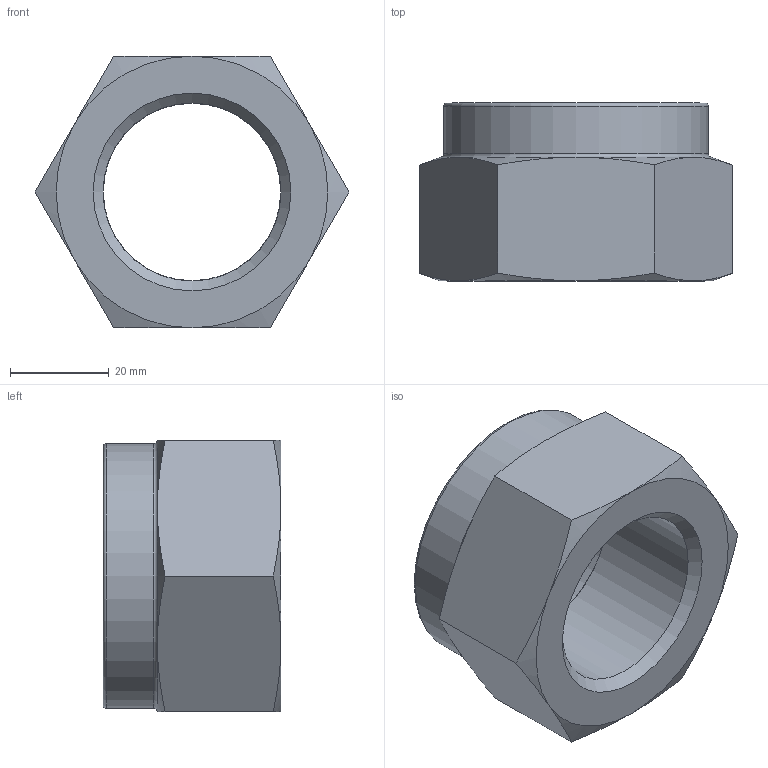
import cadquery as cq
import math

across_flats = 55.0
total_length = 36.0
hex_length = 25.0
collar_radius = 26.8

front_bore_radius = 18.0
rear_bore_radius = 17.95
bore_mouth_radius = 20.0
bore_mouth_depth = 2.0

corner_bevel_angle = 20.0
collar_edge_radius = 0.7

flat_radius = across_flats / 2
corner_radius = flat_radius / math.cos(math.radians(30))
bevel_length = (corner_radius - flat_radius) * math.tan(math.radians(corner_bevel_angle))
collar_root_radius = flat_radius - collar_radius


def revolve_about_y(profile):
    """Close a (radius, Y) profile and turn it all the way round the Y axis."""
    return profile.close().revolve(360, (0, 0, 0), (0, 1, 0))


def make_hexagon():
    """Hexagonal prism with flats at +Z and -Z, its corners bevelled at both ends."""
    prism = cq.Workplane("XZ").polygon(6, 2 * corner_radius).extrude(-hex_length)
    bevel_envelope = revolve_about_y(
        cq.Workplane("XY")
        .lineTo(flat_radius, 0)
        .lineTo(corner_radius, bevel_length)
        .lineTo(corner_radius, hex_length - bevel_length)
        .lineTo(flat_radius, hex_length)
        .lineTo(0, hex_length)
    )
    return prism.intersect(bevel_envelope)


def make_collar():
    """Round collar behind the hexagon, with a concave root fillet and a rounded free edge."""
    root_y = hex_length + collar_root_radius
    edge_x = collar_radius - collar_edge_radius
    edge_y = total_length - collar_edge_radius
    root_mid = collar_root_radius * math.sqrt(0.5)
    edge_mid = collar_edge_radius * math.sqrt(0.5)
    return revolve_about_y(
        cq.Workplane("XY")
        .lineTo(flat_radius, 0)
        .lineTo(flat_radius, hex_length)
        .threePointArc((flat_radius - root_mid, root_y - root_mid), (collar_radius, root_y))
        .lineTo(collar_radius, edge_y)
        .threePointArc((edge_x + edge_mid, edge_y + edge_mid), (edge_x, total_length))
        .lineTo(0, total_length)
    )


def make_bore():
    """Through bore with a conical mouth in front and a slight step down inside the collar."""
    return revolve_about_y(
        cq.Workplane("XY")
        .lineTo(bore_mouth_radius, 0)
        .lineTo(front_bore_radius, bore_mouth_depth)
        .lineTo(front_bore_radius, hex_length)
        .lineTo(rear_bore_radius, hex_length)
        .lineTo(rear_bore_radius, total_length)
        .lineTo(0, total_length)
    )


result = make_hexagon().union(make_collar()).cut(make_bore())